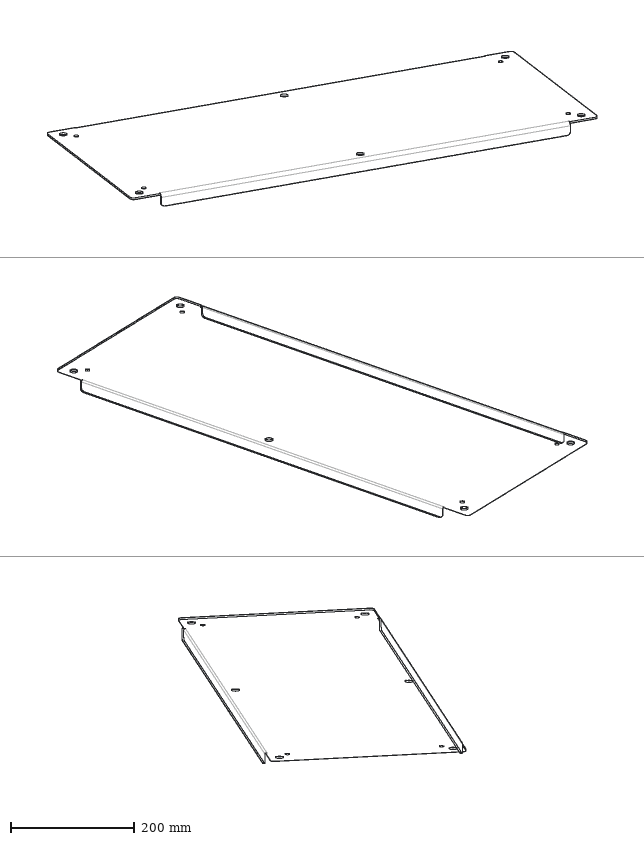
import cadquery as cq

overall_width = 328.61
panel_length = 838.2
overall_height = 22.23

sheet_thickness = 3.175
panel_width = overall_width - 2 * sheet_thickness
panel_corner_radius = 6.35

flange_length = 735.0
flange_corner_radius = 6.35
inner_bend_radius = 2.8
outer_bend_radius = inner_bend_radius + sheet_thickness

mounting_hole_diameter = 12.7
mounting_spacing_x = 285.75
mounting_spacing_y = 793.75

small_hole_diameter = 7.14
small_spacing_x = 254.0
small_spacing_y = 762.0


def make_panel():
    """Flat sheet with rounded corners, below z = 0."""
    return (
        cq.Workplane("XY")
        .rect(panel_width, panel_length)
        .extrude(-sheet_thickness)
        .edges("|Z")
        .fillet(panel_corner_radius)
    )


def cut_bend_reliefs(panel):
    """Trim the panel back to the bend lines where the flanges join it."""
    flat_width = overall_width - 2 * outer_bend_radius
    strip_width = outer_bend_radius
    for side in (-1, 1):
        strip = (
            cq.Workplane("XY")
            .center(side * (flat_width + strip_width) / 2, 0)
            .rect(strip_width, flange_length)
            .extrude(-sheet_thickness)
        )
        panel = panel.cut(strip)
    return panel


def make_right_flange():
    """Bend and downward leg on the +X side, with rounded lower corners."""
    outer_x = overall_width / 2
    inner_x = outer_x - sheet_thickness
    bend_x = outer_x - outer_bend_radius
    return (
        cq.Workplane("XZ")
        .moveTo(bend_x, 0)
        .radiusArc((outer_x, -outer_bend_radius), outer_bend_radius)
        .lineTo(outer_x, -overall_height)
        .lineTo(inner_x, -overall_height)
        .lineTo(inner_x, -outer_bend_radius)
        .radiusArc((bend_x, -sheet_thickness), -inner_bend_radius)
        .close()
        .extrude(flange_length / 2, both=True)
        .faces("<Z")
        .edges("|X")
        .fillet(flange_corner_radius)
    )


def drill_holes(body):
    """Drill the mounting holes and the small holes through the panel."""
    return (
        body.copyWorkplane(cq.Workplane("XY"))
        .rarray(mounting_spacing_x, mounting_spacing_y / 2, 2, 3)
        .hole(mounting_hole_diameter)
        .copyWorkplane(cq.Workplane("XY"))
        .rarray(small_spacing_x, small_spacing_y, 2, 2)
        .hole(small_hole_diameter)
    )


right_flange = make_right_flange()
left_flange = right_flange.mirror("YZ")
body = cut_bend_reliefs(make_panel()).union(right_flange).union(left_flange)
result = drill_holes(body)